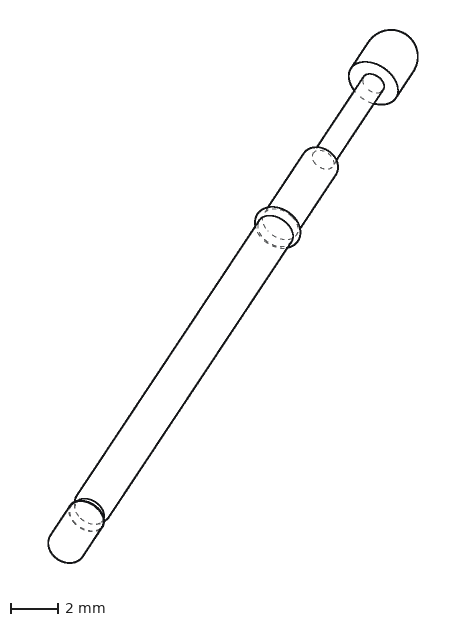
import cadquery as cq
import math

total_length = 35.7
tip_y = total_length / 2
tail_y = -total_length / 2

head_radius = 1.15
head_length = 3.0
rod_radius = 0.5

barrel_radius = 0.82
barrel_mouth_offset = 8.32
mouth_rounding = barrel_radius - rod_radius
tail_flat_radius = 0.4
tail_rounding_length = 0.5
tail_rounding_radius = 0.43
ring_offset = 13.05
ring_radius = 1.05
ring_width = 0.5
groove_radius = 0.68
groove_floor_rise = 0.1
groove_width = 0.32
tail_section_length = 2.5
groove_shoulder_length = 0.35

head_base_y = tip_y - head_length
mouth_y = tip_y - barrel_mouth_offset
ring_y = tip_y - ring_offset
groove_tail_y = tail_y + tail_section_length
groove_front_y = groove_tail_y + groove_width


def tangent_arc_radius(length, depth):
    """Radius of an arc that leaves a line along Y tangentially and departs by depth over length."""
    return (length**2 + depth**2) / (2 * depth)


def revolve_about_y(half_profile):
    return half_profile.close().revolve(360, (0, 0, 0), (0, 1, 0))


def make_plunger():
    nose_centre_y = tip_y - head_radius
    nose_middle = head_radius * math.sqrt(0.5)
    return revolve_about_y(
        cq.Workplane("XY")
        .moveTo(0, mouth_y - mouth_rounding)
        .lineTo(rod_radius, mouth_y - mouth_rounding)
        .lineTo(rod_radius, head_base_y)
        .lineTo(head_radius, head_base_y)
        .lineTo(head_radius, nose_centre_y)
        .threePointArc((nose_middle, nose_centre_y + nose_middle), (0, tip_y))
    )


def make_barrel():
    floor_arc_radius = tangent_arc_radius(groove_width, groove_floor_rise)
    shoulder_arc_radius = tangent_arc_radius(groove_shoulder_length, barrel_radius - groove_radius)
    return revolve_about_y(
        cq.Workplane("XY")
        .moveTo(0, tail_y)
        .lineTo(tail_flat_radius, tail_y)
        .radiusArc((barrel_radius, tail_y + tail_rounding_length), -tail_rounding_radius)
        .lineTo(barrel_radius, groove_tail_y)
        .lineTo(groove_radius + groove_floor_rise, groove_tail_y)
        .radiusArc((groove_radius, groove_front_y), floor_arc_radius)
        .radiusArc((barrel_radius, groove_front_y + groove_shoulder_length), -shoulder_arc_radius)
        .lineTo(barrel_radius, mouth_y - mouth_rounding)
        .radiusArc((rod_radius, mouth_y), -mouth_rounding)
        .lineTo(0, mouth_y)
    )


def make_press_ring():
    crown_radius = ring_width / 2
    crown_centre = ring_radius - crown_radius
    return revolve_about_y(
        cq.Workplane("XY")
        .moveTo(0, ring_y - crown_radius)
        .lineTo(crown_centre, ring_y - crown_radius)
        .threePointArc((ring_radius, ring_y), (crown_centre, ring_y + crown_radius))
        .lineTo(0, ring_y + crown_radius)
    )


result = make_plunger().union(make_barrel()).union(make_press_ring())